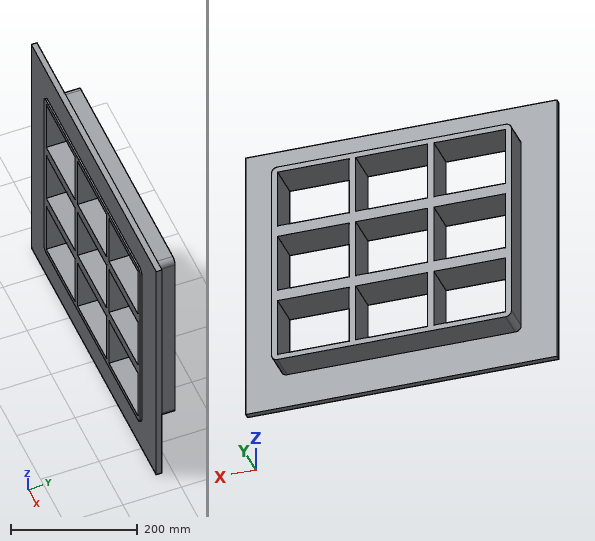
import cadquery as cq

plate_width = 521.5
plate_height = 483.0
plate_thickness = 10.0

block_width = 402.0
block_height = 362.5
block_depth = 60.0
corner_radius = 10.0
front_lip = 2.85

columns = 3
rows = 3
window_width = 120.0
window_height = 101.0
upright_width = 11.0
crossbar_height = 20.0


def centred_box(width, depth, height, front_y):
    """Box centred on X and Z, extending towards +Y from front_y."""
    return cq.Workplane("XY").box(width, depth, height).translate((0, front_y + depth / 2, 0))


plate = centred_box(plate_width, plate_thickness, plate_height, 0)
block = centred_box(block_width, block_depth, block_height, -front_lip)
block = block.edges("|Y").fillet(corner_radius)

windows = (
    cq.Workplane("XZ", origin=(0, -front_lip, 0))
    .rarray(window_width + upright_width, window_height + crossbar_height, columns, rows)
    .rect(window_width, window_height)
    .extrude(-block_depth)
)

result = plate.union(block).cut(windows)